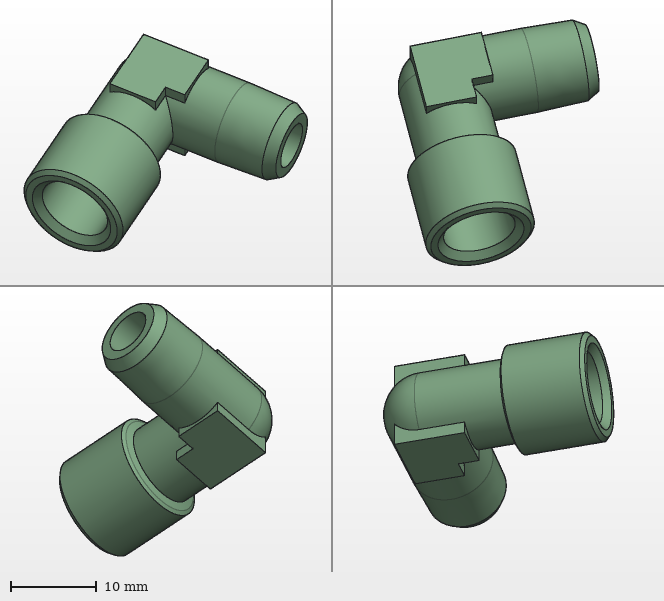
import cadquery as cq
import math

elbow_radius = 5.0

female_length = 21.0
collar_radius = 6.5
collar_chamfer = 0.5
collar_start = 11.0
shoulder_edge_radius = 6.0
shoulder_edge = 10.73
shoulder_start = 10.46

male_length = 18.0
taper_start = 10.5
taper_length = 6.1
taper_ratio = 1 / 16
tip_chamfer_angle = 30.0

pad_half_width = 3.0
pad_reach = 5.52
pad_half_height = 5.5

drill_half_angle = 59.0
socket_radius = 8.566 / 2
socket_depth = 10.0
countersink_radius = 5.14
female_bore_radius = 3.0
male_bore_radius = 2.75

taper_end = taper_start + taper_length
taper_end_radius = elbow_radius - taper_length * taper_ratio / 2
tip_radius = taper_end_radius - (male_length - taper_end) * math.tan(math.radians(tip_chamfer_angle))


def drill_point_length(radius):
    """Axial length of a full drill point of the given radius."""
    return radius / math.tan(math.radians(drill_half_angle))


def turned_along_x(profile):
    """Revolve (axial, radius) points about the X axis."""
    return cq.Workplane("XZ").polyline(profile).close().revolve(360, (0, 0, 0), (1, 0, 0))


def turned_along_minus_y(profile):
    """Revolve (axial, radius) points about the Y axis, with axial distance measured toward -Y."""
    points = [(-axial, radius) for axial, radius in profile]
    return cq.Workplane("YZ").polyline(points).close().revolve(360, (0, 0, 0), (1, 0, 0))


def make_female_leg():
    return turned_along_minus_y([
        (0, 0),
        (0, elbow_radius),
        (shoulder_start, elbow_radius),
        (shoulder_edge, shoulder_edge_radius),
        (collar_start, collar_radius),
        (female_length - collar_chamfer, collar_radius),
        (female_length, collar_radius - collar_chamfer),
        (female_length, 0),
    ])


def make_male_leg():
    return turned_along_x([
        (0, 0),
        (0, elbow_radius),
        (taper_start, elbow_radius),
        (taper_end, taper_end_radius),
        (male_length, tip_radius),
        (male_length, 0),
    ])


def make_wrench_pads():
    outline = [
        (-pad_half_width, pad_half_width),
        (pad_reach, pad_half_width),
        (pad_reach, -pad_half_width),
        (pad_half_width, -pad_half_width),
        (pad_half_width, -pad_reach),
        (-pad_half_width, -pad_reach),
    ]
    return cq.Workplane("XY").polyline(outline).close().extrude(pad_half_height, both=True)


def make_female_bore():
    socket_end = female_length - socket_depth
    socket_cone_end = socket_end - (
        drill_point_length(socket_radius) - drill_point_length(female_bore_radius)
    )
    countersink_depth = countersink_radius - socket_radius
    return turned_along_minus_y([
        (-drill_point_length(female_bore_radius), 0),
        (0, female_bore_radius),
        (socket_cone_end, female_bore_radius),
        (socket_end, socket_radius),
        (female_length - countersink_depth, socket_radius),
        (female_length, countersink_radius),
        (female_length, 0),
    ])


def make_male_bore():
    return turned_along_x([
        (-drill_point_length(male_bore_radius), 0),
        (0, male_bore_radius),
        (male_length, male_bore_radius),
        (male_length, 0),
    ])


elbow = cq.Workplane("XY").sphere(elbow_radius)
body = elbow.union(make_female_leg()).union(make_male_leg()).union(make_wrench_pads())
result = body.cut(make_female_bore()).cut(make_male_bore())